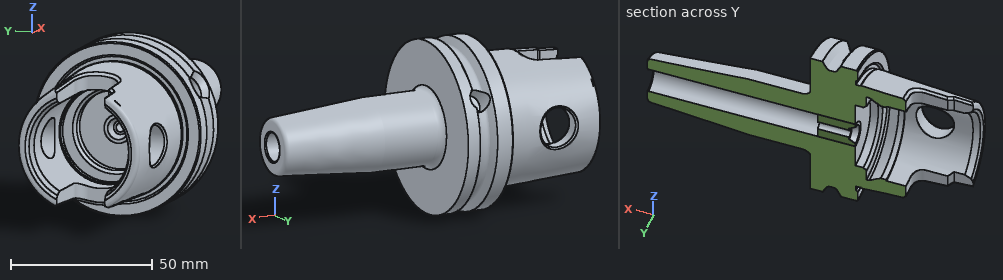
import cadquery as cq
import math

TOLERANCE = 0.01

TOTAL_LENGTH = 120.0

TAPER_END_RADIUS = 22.8
TAPER_BASE_RADIUS = 24.8
TAPER_END_ROUND = 1.4
NECK_START = 38.6
NECK_RADIUS = 24.6

FLANGE_RADIUS = 31.49
FLANGE_BACK = 39.8
FLANGE_FRONT = 58.0
FLANGE_CHAMFER = 0.5
RELIEF_OUTER_RADIUS = 26.9
RELIEF_FLOOR_RADIUS = 26.1
RELIEF_DEPTH = 0.7

GROOVE_CENTRE = 49.8
GROOVE_MOUTH = 7.0
GROOVE_FLOOR_RADIUS = 28.1
GROOVE_WALL_ANGLE = 30.0
GROOVE_ROUND = 1.2

NOSE_RADIUS = 13.5
NOSE_TIP_RADIUS = 10.4
NOSE_ROOT_ROUND = 2.8
NOSE_ROOT_RADIUS = 15.1
NOSE_TAPER_START = 81.8
NOSE_END_ROUND = 1.8

MOUTH_RADIUS = 20.0
MOUTH_CHAMFER_RADIUS = 18.8
MOUTH_CHAMFER_DEPTH = 0.7
LEAD_IN_DEPTH = 3.1
BARREL_RADIUS = 17.81
LIP_RADIUS = 17.3
LIP_START = 29.0
LIP_END = 31.2
CLAMP_ANGLE = 30.0
CLAMP_GROOVE_RADIUS = 19.8
CLAMP_GROOVE_END = 36.6
POCKET_MOUTH_RADIUS = 15.5
POCKET_RADIUS = 14.4
POCKET_CHAMFER = 1.2
POCKET_FLOOR = 40.8

SLOT_HALF_WIDTH = 8.2
SLOT_WIDE_SIDE = 10.0
SLOT_WIDE_END = 7.2
SLOT_END = 21.6
SLOT_CORNER_RADIUS = 4.0
SLOT_CHAMFER = 1.1

CROSS_HOLE_X = 17.5
CROSS_HOLE_RADIUS = 7.2
CROSS_HOLE_CHAMFER = 0.7

FLANGE_HOLE_X = 50.9
FLANGE_HOLE_RADIUS = 4.1
FLANGE_HOLE_SINK_RADIUS = 6.5
FLANGE_HOLE_ANGLE = 30.0
FLANGE_HOLE_FLOOR = 21.6

BORE_RADIUS = 5.2
BORE_MOUTH_CHAMFER = 0.5
SCREW_LENGTH = 14.4
SCREW_SINK_RADIUS = 3.8
SCREW_SINK_FLOOR_RADIUS = 2.46
SCREW_SINK_DEPTH = 2.4
SCREW_HOLE_RADIUS = 1.5


def revolve_about_x(profile):
    return profile.close().revolve(360, (0, 0, 0), (1, 0, 0))


def outer_body():
    root_drop = (NOSE_ROOT_RADIUS - NOSE_RADIUS) / 4
    profile = (
        cq.Workplane("XY")
        .lineTo(0, TAPER_END_RADIUS)
        .lineTo(NECK_START, TAPER_BASE_RADIUS)
        .lineTo(NECK_START + TAPER_BASE_RADIUS - NECK_RADIUS, NECK_RADIUS)
        .lineTo(FLANGE_BACK, NECK_RADIUS)
        .lineTo(FLANGE_BACK, FLANGE_RADIUS - FLANGE_CHAMFER)
        .lineTo(FLANGE_BACK + FLANGE_CHAMFER, FLANGE_RADIUS)
        .lineTo(FLANGE_FRONT, FLANGE_RADIUS)
        .lineTo(FLANGE_FRONT, NOSE_ROOT_RADIUS)
        .threePointArc(
            (FLANGE_FRONT + NOSE_ROOT_ROUND / 2, NOSE_RADIUS + root_drop),
            (FLANGE_FRONT + NOSE_ROOT_ROUND, NOSE_RADIUS),
        )
        .lineTo(NOSE_TAPER_START, NOSE_RADIUS)
        .lineTo(TOTAL_LENGTH, NOSE_TIP_RADIUS)
        .lineTo(TOTAL_LENGTH, 0)
    )
    return revolve_about_x(profile).faces(">X").edges().fillet(NOSE_END_ROUND)


def taper_radius(x):
    return TAPER_END_RADIUS + (TAPER_BASE_RADIUS - TAPER_END_RADIUS) * x / NECK_START


def end_rounding():
    """Ring of material outside the rounded edge at the open end of the taper."""
    shoulder_radius = taper_radius(TAPER_END_ROUND)
    arc_drop = TAPER_END_ROUND * (1 - math.sqrt(0.5))
    profile = (
        cq.Workplane("XY")
        .moveTo(0, shoulder_radius - TAPER_END_ROUND)
        .threePointArc((arc_drop, shoulder_radius - arc_drop), (TAPER_END_ROUND, shoulder_radius))
        .lineTo(TAPER_END_ROUND, NECK_RADIUS)
        .lineTo(0, NECK_RADIUS)
    )
    return revolve_about_x(profile)


def lies_on_taper(edge):
    """True for a curved edge along the outer taper, away from the open end and the flange."""
    if edge.geomType() == "LINE":
        return False
    points = [edge.positionAt(step / 4) for step in range(5)]
    if all(point.x < TOLERANCE for point in points):
        return False
    if any(point.x > NECK_START - TOLERANCE for point in points):
        return False
    return all(abs(math.hypot(p.y, p.z) - taper_radius(p.x)) < TOLERANCE for p in points)


def is_cross_hole_rim(edge):
    centre = edge.Center()
    return lies_on_taper(edge) and abs(centre.z) < CROSS_HOLE_RADIUS


def face_relief():
    profile = (
        cq.Workplane("XY")
        .moveTo(FLANGE_BACK, NECK_RADIUS)
        .lineTo(FLANGE_BACK, RELIEF_OUTER_RADIUS)
        .lineTo(FLANGE_BACK + RELIEF_DEPTH, RELIEF_FLOOR_RADIUS)
        .lineTo(FLANGE_BACK + RELIEF_DEPTH, NECK_RADIUS)
    )
    return revolve_about_x(profile)


def gripper_groove():
    depth = FLANGE_RADIUS - GROOVE_FLOOR_RADIUS
    half_mouth = GROOVE_MOUTH / 2
    half_floor = half_mouth - depth * math.tan(math.radians(GROOVE_WALL_ANGLE))
    profile = (
        cq.Workplane("XY")
        .moveTo(GROOVE_CENTRE - half_mouth, FLANGE_RADIUS)
        .lineTo(GROOVE_CENTRE - half_floor, GROOVE_FLOOR_RADIUS)
        .lineTo(GROOVE_CENTRE + half_floor, GROOVE_FLOOR_RADIUS)
        .lineTo(GROOVE_CENTRE + half_mouth, FLANGE_RADIUS)
    )
    floor_edges = cq.selectors.RadiusNthSelector(0)
    return revolve_about_x(profile).edges(floor_edges).fillet(GROOVE_ROUND)


def clamping_cavity():
    clamp_length = (CLAMP_GROOVE_RADIUS - LIP_RADIUS) / math.tan(math.radians(CLAMP_ANGLE))
    profile = (
        cq.Workplane("XY")
        .lineTo(0, MOUTH_RADIUS)
        .lineTo(MOUTH_CHAMFER_DEPTH, MOUTH_CHAMFER_RADIUS)
        .lineTo(LEAD_IN_DEPTH, BARREL_RADIUS)
        .lineTo(LIP_START, BARREL_RADIUS)
        .lineTo(LIP_START, LIP_RADIUS)
        .lineTo(LIP_END, LIP_RADIUS)
        .lineTo(LIP_END + clamp_length, CLAMP_GROOVE_RADIUS)
        .lineTo(CLAMP_GROOVE_END, CLAMP_GROOVE_RADIUS)
        .lineTo(CLAMP_GROOVE_END, POCKET_MOUTH_RADIUS)
        .lineTo(CLAMP_GROOVE_END + POCKET_CHAMFER, POCKET_RADIUS)
        .lineTo(POCKET_FLOOR, POCKET_RADIUS)
        .lineTo(POCKET_FLOOR, 0)
    )
    return revolve_about_x(profile)


def drive_slots():
    """Both slots as one bar through the shank, stepped wider on the -Y side at the open end."""
    step = SLOT_WIDE_SIDE - SLOT_HALF_WIDTH
    bar = (
        cq.Workplane("XY")
        .moveTo(0, SLOT_HALF_WIDTH)
        .lineTo(SLOT_END, SLOT_HALF_WIDTH)
        .lineTo(SLOT_END, -SLOT_HALF_WIDTH)
        .lineTo(SLOT_WIDE_END + step, -SLOT_HALF_WIDTH)
        .lineTo(SLOT_WIDE_END, -SLOT_WIDE_SIDE)
        .lineTo(0, -SLOT_WIDE_SIDE)
        .close()
        .extrude(FLANGE_RADIUS, both=True)
    )
    return bar.edges("|Z and >X").fillet(SLOT_CORNER_RADIUS)


def cross_hole():
    return (
        cq.Workplane("XZ")
        .center(CROSS_HOLE_X, 0)
        .circle(CROSS_HOLE_RADIUS)
        .extrude(FLANGE_RADIUS, both=True)
    )


def flange_hole(side, sink_radius):
    """Blind radial hole above the given Y side, with a 45 degree countersink at the flange rim."""
    sink_depth = sink_radius - FLANGE_HOLE_RADIUS
    profile = (
        cq.Workplane("XY")
        .moveTo(0, FLANGE_HOLE_FLOOR)
        .lineTo(FLANGE_HOLE_RADIUS, FLANGE_HOLE_FLOOR)
        .lineTo(FLANGE_HOLE_RADIUS, FLANGE_RADIUS - sink_depth)
        .lineTo(sink_radius + FLANGE_CHAMFER, FLANGE_RADIUS + FLANGE_CHAMFER)
        .lineTo(0, FLANGE_RADIUS + FLANGE_CHAMFER)
    )
    hole = profile.close().revolve(360, (0, 0, 0), (0, 1, 0))
    turn = FLANGE_HOLE_ANGLE if side > 0 else 180 - FLANGE_HOLE_ANGLE
    return hole.rotate((0, 0, 0), (1, 0, 0), turn).translate((FLANGE_HOLE_X, 0, 0))


def centre_bore():
    profile = (
        cq.Workplane("XY")
        .moveTo(POCKET_FLOOR, 0)
        .lineTo(POCKET_FLOOR, BORE_RADIUS)
        .lineTo(TOTAL_LENGTH - BORE_MOUTH_CHAMFER, BORE_RADIUS)
        .lineTo(TOTAL_LENGTH, BORE_RADIUS + BORE_MOUTH_CHAMFER)
        .lineTo(TOTAL_LENGTH, 0)
    )
    return revolve_about_x(profile)


def make_holder():
    shank = outer_body().cut(clamping_cavity())
    slotted = shank.cut(drive_slots())
    slotted = slotted.newObject(list(filter(lies_on_taper, slotted.edges().vals()))).chamfer(SLOT_CHAMFER)
    bored = slotted.cut(cross_hole())
    bored = bored.newObject(list(filter(is_cross_hole_rim, bored.edges().vals()))).chamfer(CROSS_HOLE_CHAMFER)
    holder = bored.cut(end_rounding()).cut(face_relief()).cut(gripper_groove())
    holder = holder.cut(flange_hole(-1, FLANGE_HOLE_SINK_RADIUS))
    holder = holder.cut(flange_hole(1, FLANGE_HOLE_RADIUS))
    return holder.cut(centre_bore()).solids()


def make_stop_screw():
    sink_floor = POCKET_FLOOR + SCREW_SINK_DEPTH
    screw_end = POCKET_FLOOR + SCREW_LENGTH
    profile = (
        cq.Workplane("XY")
        .moveTo(POCKET_FLOOR, BORE_RADIUS)
        .lineTo(POCKET_FLOOR, SCREW_SINK_RADIUS)
        .lineTo(sink_floor, SCREW_SINK_FLOOR_RADIUS)
        .lineTo(sink_floor, SCREW_HOLE_RADIUS)
        .lineTo(screw_end, SCREW_HOLE_RADIUS)
        .lineTo(screw_end, BORE_RADIUS)
    )
    return revolve_about_x(profile)


holder = make_holder()
stop_screw = make_stop_screw()
result = cq.Compound.makeCompound([holder.val(), stop_screw.val()])